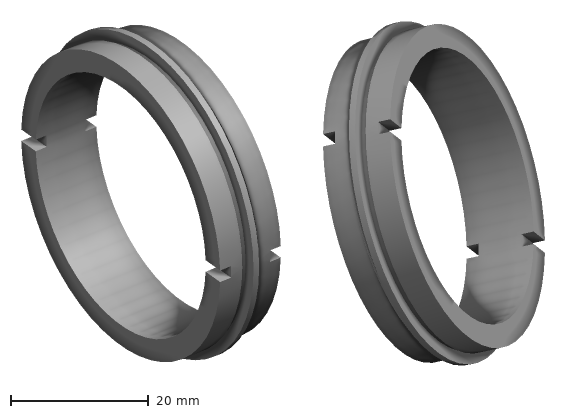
import cadquery as cq

flange_diameter = 50.8
body_diameter = 48.0
groove_diameter = 47.0
bore_diameter = 41.0
ring_width = 11.0

flange_width = 1.0
groove_span = 3.0

slot_width = 2.0
slot_depth = 2.0


def disc(diameter, width):
    """Solid disc about the Y axis, centred on the origin."""
    back_face = cq.Workplane("XZ", origin=(0, width / 2, 0))
    return back_face.circle(diameter / 2).extrude(width)


def end_slot(side):
    """Cutter for the slot across the end face on the given side (-1 or +1) of Y."""
    center_y = side * (ring_width - slot_depth) / 2
    slot = cq.Workplane("XY").box(flange_diameter, slot_depth, slot_width)
    return slot.translate((0, center_y, 0))


def relief_groove():
    """Cutter spanning both grooves, leaving the core below them."""
    return disc(flange_diameter, groove_span).cut(disc(groove_diameter, groove_span))


ring = disc(body_diameter, ring_width).cut(relief_groove())
ring = ring.union(disc(flange_diameter, flange_width))
ring = ring.cut(disc(bore_diameter, ring_width))

for side in (-1, 1):
    ring = ring.cut(end_slot(side))

result = ring